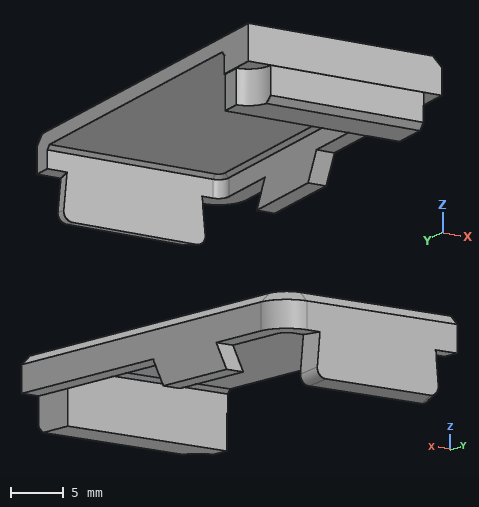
import cadquery as cq

cover_length_x = 21.2
cover_length_y = 40.2
cover_height = 3.8
total_height = 8.71

wall = 2.0
front_block_depth = 4.6
roof_thickness = 1.5
roof_chamfer = 0.42
inner_corner_radius = 2.2 / 2
outer_corner_radius = inner_corner_radius + wall
top_chamfer = 1.0

foot_side_inset = 0.1
foot_front_inset = 0.04
foot_bottom = -7.45
foot_chamfer = 0.65
relief_radius = 2.45

tab_bottom = -6.65
tab_length = 9.8
tab_root_start = 20.4
tab_shift = 1.6

hook_start_x = 1.7
hook_end_x = 17.4
hook_side_lean = 0.55
hook_overlap = 1.0
hook_draft = 12.5
hook_corner_radius = 1.0

cavity_end_x = cover_length_x - wall
cavity_end_y = cover_length_y - wall


def box_between(low, high):
    """Box spanned by two opposite corner points."""
    size = [b - a for a, b in zip(low, high)]
    return cq.Workplane("XY").box(*size, centered=False).translate(low)


def make_cover():
    """Plate with one rounded corner, chamfered along its +X and +Y top edges."""
    cover = box_between((0, 0, -cover_height), (cover_length_x, cover_length_y, 0))
    cover = cover.edges("|Z and >X and >Y").fillet(outer_corner_radius)
    outer_edges = cover.faces(">Z").edges(">X or >Y or %CIRCLE")
    return outer_edges.chamfer(top_chamfer)


def make_cavity():
    """Hollow under the roof, open at the -X side and at the bottom."""
    cavity = box_between(
        (-wall, front_block_depth, -total_height),
        (cavity_end_x, cavity_end_y, -roof_thickness),
    )
    cavity = cavity.edges("|Z and >X and >Y").fillet(inner_corner_radius)
    return cavity.faces(">Z").edges("not <X").chamfer(roof_chamfer)


def make_foot():
    """Bar below the front block, with a chamfered front edge and a round relief at its corner."""
    foot = box_between(
        (foot_side_inset, foot_front_inset, foot_bottom),
        (cavity_end_x, front_block_depth, -cover_height),
    )
    foot = foot.edges("|X and <Y and <Z").chamfer(foot_chamfer)
    relief = (
        cq.Workplane("XY")
        .workplane(offset=-cover_height)
        .circle(relief_radius)
        .extrude(foot_bottom)
    )
    return foot.cut(relief)


def make_side_tab():
    """Slanted tab that continues the +X wall downward."""
    tab_root_end = tab_root_start + tab_length
    outline = [
        (tab_root_start, -cover_height),
        (tab_root_end, -cover_height),
        (tab_root_end + tab_shift, tab_bottom),
        (tab_root_start + tab_shift, tab_bottom),
    ]
    tab = cq.Workplane("YZ").polyline(outline).close().extrude(wall)
    return tab.translate((cavity_end_x, 0, 0))


def make_hook():
    """Lip below the +Y wall with leaning sides and rounded corners, drafted so it narrows toward +Y."""
    rear_facing = cq.Plane(origin=(0, cavity_end_y, 0), xDir=(1, 0, 0), normal=(0, 1, 0))
    hook_top_depth = cover_height - hook_overlap
    outline = [
        (hook_start_x + hook_side_lean, hook_top_depth),
        (hook_end_x - hook_side_lean, hook_top_depth),
        (hook_end_x, total_height),
        (hook_start_x, total_height),
    ]
    hook = cq.Workplane(rear_facing).polyline(outline).close().extrude(wall, taper=hook_draft)
    return hook.faces("<Z").edges("<X or >X").fillet(hook_corner_radius)


result = make_cover().cut(make_cavity())
for extension in (make_foot(), make_side_tab(), make_hook()):
    result = result.union(extension)